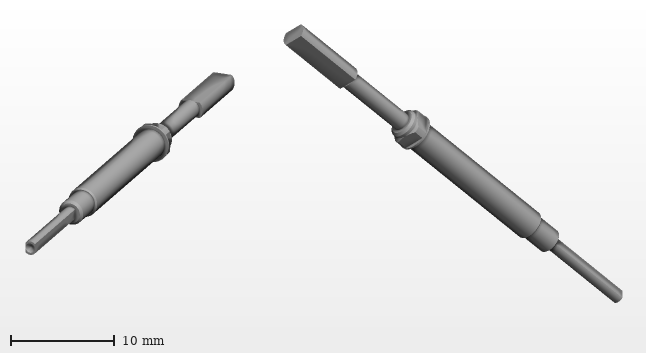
import cadquery as cq

length = 48.0

sleeve_start = 10.0
body_start = 13.0
flange_start = 30.0
shaft_start = 32.0
tail_start = 40.0

pin_diameter = 1.4
sleeve_diameter = 2.5
body_diameter = 3.0
flange_diameter = 3.75
collar_corner_diameter = 3.65
shaft_diameter = 1.8
tail_diameter = 2.5

pin_across_flats = 1.0
tail_across_flats = 1.6
collar_across_flats = body_diameter
flange_thickness = 0.2
sleeve_chamfer = 0.25
body_chamfer = 0.15
neck_chamfer = 0.25
neck_length = 0.6
corner_bevel_length = 0.2
tip_recess_diameter = 0.95
tip_recess_depth = tip_recess_diameter / 2


def rod(diameter, start, end):
    """Round section between two stations on the Y axis."""
    return cq.Workplane("XZ", origin=(0, start, 0)).circle(diameter / 2).extrude(start - end)


def block(width, height, start, end):
    """Rectangular section centred on the Y axis between two stations."""
    return cq.Workplane("XZ", origin=(0, start, 0)).rect(width, height).extrude(start - end)


def cone(diameter, depth, start):
    """Cone with its base at a station, pointing toward +Y."""
    return cq.Workplane(
        cq.Solid.makeCone(diameter / 2, 0, depth, cq.Vector(0, start, 0), cq.Vector(0, 1, 0))
    )


def make_pin():
    """Rod with flats on both X sides and a conical recess in the tip."""
    flats = block(pin_across_flats, pin_diameter, 0, sleeve_start)
    pin = rod(pin_diameter, 0, sleeve_start).intersect(flats)
    return pin.cut(cone(tip_recess_diameter, tip_recess_depth, 0))


def make_barrel():
    """Sleeve and body, each chamfered on the end nearer the tip."""
    sleeve = rod(sleeve_diameter, sleeve_start, body_start).faces("<Y").chamfer(sleeve_chamfer)
    body = rod(body_diameter, body_start, flange_start).faces("<Y").chamfer(body_chamfer)
    return sleeve.union(body)


def make_collar():
    """Thin stop flange, square collar with rounded, bevelled corners, and a chamfered round neck."""
    flange = rod(flange_diameter, flange_start, flange_start + flange_thickness)
    collar_end = shaft_start - neck_length
    corner_bevel_depth = (collar_corner_diameter - collar_across_flats) / 2
    corners = rod(collar_corner_diameter, flange_start, collar_end)
    corners = corners.faces(">Y").chamfer(corner_bevel_length, corner_bevel_depth)
    square = block(collar_across_flats, collar_across_flats, flange_start, collar_end)
    neck = rod(body_diameter, flange_start, shaft_start).faces(">Y").chamfer(neck_chamfer)
    return flange.union(corners.intersect(square)).union(neck)


def make_tail():
    """Round shaft ending in a rod with flats on the top and bottom."""
    shaft = rod(shaft_diameter, shaft_start, tail_start)
    flats = block(tail_diameter, tail_across_flats, tail_start, length)
    return shaft.union(rod(tail_diameter, tail_start, length).intersect(flats))


result = make_pin().union(make_barrel()).union(make_collar()).union(make_tail())